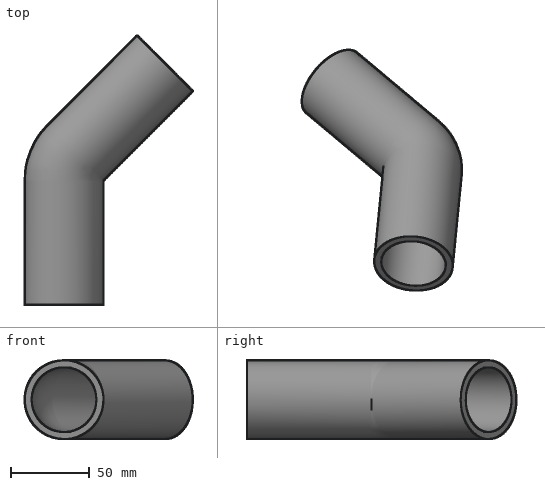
import cadquery as cq
import math

outer_diameter = 50.0
inner_diameter = 41.0

entry_length = 78.7
exit_length = 80.0
bend_angle = 45

bend_radius = outer_diameter / 2
turn = math.radians(bend_angle)
exit_direction = (math.sin(turn), math.cos(turn), 0)
bend_end = (
    bend_radius * (1 - math.cos(turn)),
    bend_radius * math.sin(turn),
    0,
)


def bent_rod(diameter):
    """Solid rod along +Y from the entry face, turning toward +X."""
    radius = diameter / 2
    entry_leg = cq.Workplane("XZ").circle(radius).extrude(entry_length)
    axis_start = (bend_radius, radius)
    axis_end = (bend_radius, 0)
    bend = cq.Workplane("XZ").circle(radius).revolve(bend_angle, axis_start, axis_end)
    exit_plane = cq.Plane(origin=bend_end, xDir=(0, 0, 1), normal=exit_direction)
    exit_leg = cq.Workplane(exit_plane).circle(radius).extrude(exit_length)
    return entry_leg.union(bend).union(exit_leg)


result = bent_rod(outer_diameter).cut(bent_rod(inner_diameter))